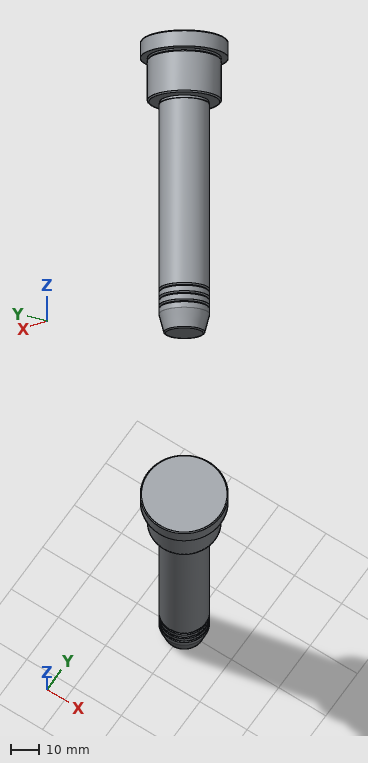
import cadquery as cq
import math

total_length = 107.0
head_height = 6.0
collar_height = 16.0
collar_top = total_length - head_height
collar_bottom = collar_top - collar_height

head_radius = 15.5
collar_radius = 13.1
shaft_radius = 9.0

head_chamfer = 0.4
collar_chamfer = 0.5
tip_chamfer = 0.4
relief_depth = 0.3
relief_width = 1.0
v_width = 1.1
v_depth = v_width / 2

groove_count = 3
first_groove_bottom = 9.0
groove_pitch = 3.0

nose_length = 7.0
nose_angle = math.radians(15)


def cylinder(radius, bottom, height):
    return cq.Workplane("XY").workplane(offset=bottom).circle(radius).extrude(height)


def relief_ring(outer_radius, bottom):
    """Ring to cut a shallow square groove into a cylinder."""
    ring = cylinder(outer_radius, bottom, relief_width)
    return ring.cut(cylinder(outer_radius - relief_depth, bottom, relief_width))


def v_ring(outer_radius, bottom):
    """Ring to cut a symmetric V groove into a cylinder."""
    profile = cq.Workplane("XZ").polyline([
        (outer_radius, bottom),
        (outer_radius - v_depth, bottom + v_width / 2),
        (outer_radius, bottom + v_width),
    ]).close()
    return profile.revolve(360, (0, 0, 0), (0, 1, 0))


def make_nose():
    """Tapered lead-in at the tip."""
    tip_radius = shaft_radius - nose_length * math.tan(nose_angle)
    nose = cq.Solid.makeCone(tip_radius, shaft_radius, nose_length)
    return cq.Workplane(nose).faces("<Z").chamfer(tip_chamfer)


def make_shaft():
    shaft = cylinder(shaft_radius, nose_length, collar_bottom - nose_length)
    for index in range(groove_count):
        groove_bottom = first_groove_bottom + index * groove_pitch
        shaft = shaft.cut(v_ring(shaft_radius, groove_bottom))
    return shaft.cut(relief_ring(shaft_radius, collar_bottom - relief_width))


def make_collar():
    collar = cylinder(collar_radius, collar_bottom, collar_height)
    collar = collar.faces("<Z").chamfer(collar_chamfer)
    return collar.cut(v_ring(collar_radius, collar_top - v_width))


def make_head():
    return cylinder(head_radius, collar_top, head_height).faces(">Z").chamfer(head_chamfer)


result = make_nose().union(make_shaft()).union(make_collar()).union(make_head())